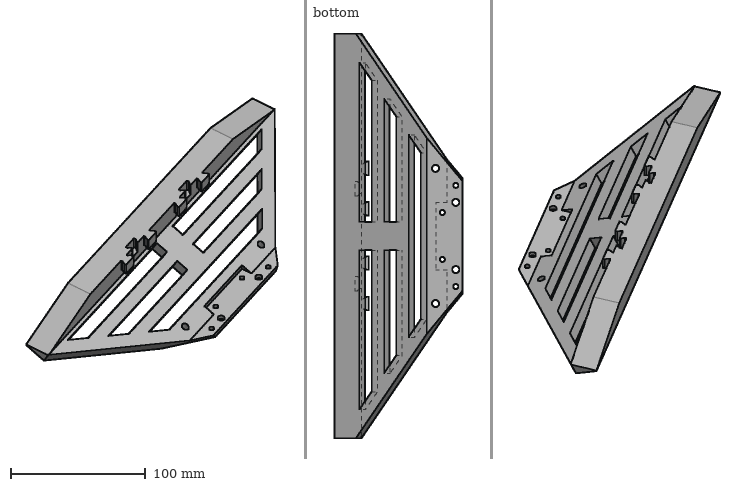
import cadquery as cq
import math

length = 300.0
depth = 95.0
height = 50.0

bar_width = 20.0
bar_flat_half = 94.5
bar_end_z = 32.7

tilt = math.radians(25)
plate_thickness = 10.0
plate_taper = 4 / 3
toe_x = 68.5

slot_count = 3
slot_start = 3.0
slot_width = 10.0
slot_pitch = 20.0
slot_rim = 10.5
web_width = 21.0

foot_thickness = 4.0
recess_x = 75.0
recess_half = 25.0

large_hole = 5.0
large_hole_spots = [(75.0, 50.0), (90.0, 25.0)]
small_hole = 3.5
small_hole_spots = [(90.0, 37.5), (80.0, 17.5)]

dovetail_height = 10.0
dovetail_root_half = 3.5
dovetail_neck = 1.0
dovetail_head = 1.5
tab_reach = 5.5
tab_tip_half = 5.0
tab_spots = [20.0, 50.0]
pocket_reach = 4.8
pocket_tip_half = 5.5
pocket_spot = 35.0

plate_top_z = (toe_x - bar_width) * math.tan(tilt) + plate_thickness / math.cos(tilt)
knee_x = bar_width + (plate_top_z - foot_thickness) / math.tan(tilt)
heel_x = bar_width - plate_thickness * math.sin(tilt)
heel_z = plate_top_z - plate_thickness * math.cos(tilt)


def plate_half_width(slope_distance):
    return length / 2 - plate_taper * slope_distance


def make_bar():
    profile = [
        (0, height),
        (bar_width, height),
        (bar_width, plate_top_z),
        (heel_x, heel_z),
        (0, toe_x * math.tan(tilt)),
    ]
    bar = cq.Workplane("XZ").polyline(profile).close().extrude(length / 2, both=True)
    for side in (-1, 1):
        end_wedge = [
            (side * bar_flat_half, height),
            (side * length / 2, height),
            (side * length / 2, bar_end_z),
        ]
        bar = bar.cut(cq.Workplane("YZ").polyline(end_wedge).close().extrude(bar_width))
    return bar


def slot_outlines():
    """Slots as corner lists (slope distance, y), with ends parallel to the plate's sides."""
    rim_across = slot_rim * math.hypot(1, plate_taper)
    for index in range(slot_count):
        near = slot_start + index * slot_pitch
        far = near + slot_width
        near_half = plate_half_width(near) - rim_across
        far_half = plate_half_width(far) - rim_across
        if index == slot_count - 1:
            yield [(near, -near_half), (far, -far_half), (far, far_half), (near, near_half)]
        else:
            for side in (-1, 1):
                web_edge = side * web_width / 2
                outer_end = [(far, side * far_half), (near, side * near_half)]
                yield [(near, web_edge), (far, web_edge)] + outer_end


def make_plate():
    """Plate and foot in one slab, its sides square to the sloping face."""
    profile = [
        (bar_width, plate_top_z),
        (knee_x, foot_thickness),
        (depth, foot_thickness),
        (depth, 0),
        (toe_x, 0),
        (heel_x, heel_z),
    ]
    slab = cq.Workplane("XZ").polyline(profile).close().extrude(length / 2, both=True)
    upper_face = cq.Workplane(
        cq.Plane(
            origin=(bar_width, 0, plate_top_z),
            xDir=(math.cos(tilt), 0, -math.sin(tilt)),
            normal=(math.sin(tilt), 0, math.cos(tilt)),
        )
    )
    far_half = plate_half_width(depth)
    outline = [(0, -length / 2), (depth, -far_half), (depth, far_half), (0, length / 2)]
    sides = upper_face.polyline(outline).close().extrude(height, both=True)
    plate = slab.intersect(sides)
    for slot in slot_outlines():
        plate = plate.cut(upper_face.polyline(slot).close().extrude(-plate_thickness))

    recess = (
        cq.Workplane("XY", origin=(recess_x, 0, foot_thickness))
        .box(depth - recess_x, 2 * recess_half, height, centered=(False, True, False))
    )
    return plate.cut(recess)


def make_dovetail(y, reach, tip_half, direction):
    """Dovetail hanging from the bar's top level; direction +1 points out of the bar, -1 into it."""
    half_outline = [
        (0, dovetail_root_half),
        (dovetail_neck, dovetail_root_half),
        (reach - dovetail_head, tip_half),
        (reach, tip_half),
    ]
    outline = [(bar_width + direction * out, y + half) for out, half in half_outline]
    outline += [(bar_width + direction * out, y - half) for out, half in reversed(half_outline)]
    return cq.Workplane("XY", origin=(0, 0, height)).polyline(outline).close().extrude(-dovetail_height)


def make_holes(spots, diameter):
    mirrored = [(x, side * y) for x, y in spots for side in (-1, 1)]
    return cq.Workplane("XY").pushPoints(mirrored).circle(diameter / 2).extrude(height)


result = make_bar().union(make_plate())
for side in (-1, 1):
    result = result.cut(make_dovetail(side * pocket_spot, pocket_reach, pocket_tip_half, -1))
    for spot in tab_spots:
        result = result.union(make_dovetail(side * spot, tab_reach, tab_tip_half, 1))
result = result.cut(make_holes(large_hole_spots, large_hole))
result = result.cut(make_holes(small_hole_spots, small_hole))